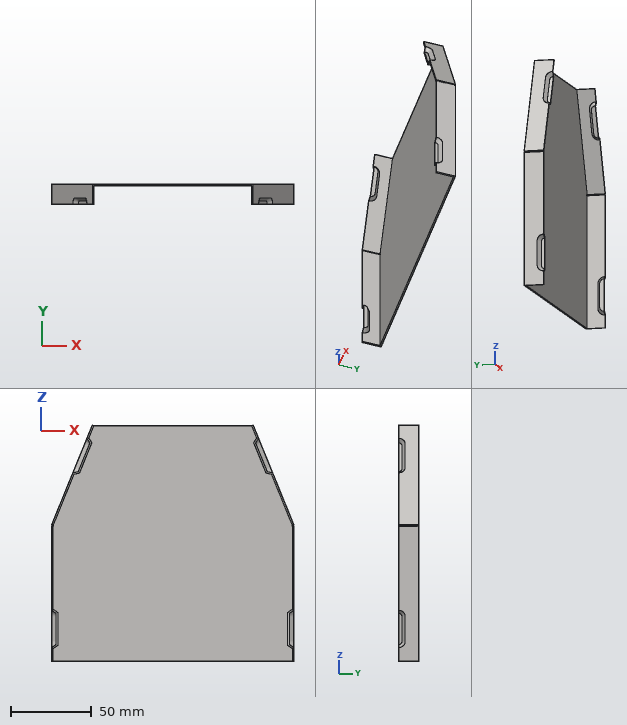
import cadquery as cq
import math

width = 150.0
depth = 12.5
height = 146.2
sheet = 1.0
corner_gap = 0.5
shoulder_height = 84.5
top_half_width = 49.8

recess_depth = 2.8
recess_half_straight = 7.5
mouth_radius = 4.0
floor_radius = 2.1
lower_recess_height = 20.1
slope_recess_distance = 46.4

half_width = width / 2
front_y = -depth / 2
back_y = depth / 2
bottom_z = -height / 2
top_z = height / 2
shoulder_z = bottom_z + shoulder_height

slope_angle = math.atan2(half_width - top_half_width, top_z - shoulder_z)
slope_x = -math.sin(slope_angle)
slope_z = math.cos(slope_angle)
panel_top_z = top_z - sheet * math.sin(slope_angle)

recess_taper = math.atan2(mouth_radius - floor_radius, recess_depth)
shell_mouth_radius = mouth_radius + sheet / math.cos(recess_taper)
shell_floor_radius = shell_mouth_radius - (recess_depth + sheet) * math.tan(recess_taper)

inner_half_width = half_width - sheet
inner_shoulder_z = shoulder_z - sheet * math.tan(slope_angle / 2)
inner_top_half_width = top_half_width - sheet * math.cos(slope_angle)


def mirrored_outline(right_points):
    """Closed XZ outline from its right-hand points, listed from bottom to top."""
    left_points = [(-x, z) for x, z in reversed(right_points)]
    return cq.Workplane("XZ", origin=(0, back_y, 0)).polyline(right_points + left_points).close()


def flange_strip(points):
    """Full-depth strip with the given XZ outline."""
    return cq.Workplane("XZ", origin=(0, back_y, 0)).polyline(points).close().extrude(depth)


def side_flange():
    """Upright right flange, stopping short of the sloping one."""
    end_z = inner_shoulder_z - corner_gap
    return flange_strip([
        (inner_half_width, bottom_z),
        (half_width, bottom_z),
        (half_width, end_z),
        (inner_half_width, end_z),
    ])


def slope_flange():
    """Sloping right flange with both ends square to the slope."""
    return flange_strip([
        (inner_half_width, inner_shoulder_z),
        (inner_half_width + sheet * slope_z, inner_shoulder_z - sheet * slope_x),
        (top_half_width, top_z),
        (inner_top_half_width, panel_top_z),
    ])


def tapered_slot(plane, outer_radius, inner_radius, length):
    """Round-ended slot that narrows along the plane normal."""
    straight = 2 * recess_half_straight
    taper = math.degrees(math.atan2(outer_radius - inner_radius, length))
    slot = cq.Workplane(plane).slot2D(straight + 2 * outer_radius, 2 * outer_radius)
    return slot.extrude(length, taper=taper)


def add_recess(flange, x, z, along):
    """Press a recess into the flange, centred on its front edge at (x, z)."""
    along_x, along_z = along
    plane = cq.Plane(
        origin=(x, front_y, z),
        xDir=(along_x, 0, along_z),
        normal=(-along_z, 0, along_x),
    )
    shell = tapered_slot(plane, shell_mouth_radius, shell_floor_radius, recess_depth + sheet)
    hollow = tapered_slot(plane, mouth_radius, floor_radius, recess_depth)
    envelope = cq.Workplane("XY").box(width, depth, height)
    return flange.union(shell.intersect(envelope)).cut(hollow)


panel_side = [
    (inner_half_width, bottom_z),
    (inner_half_width, inner_shoulder_z),
    (inner_top_half_width, panel_top_z),
]
panel = mirrored_outline(panel_side).extrude(sheet)

upright = add_recess(side_flange(), half_width, bottom_z + lower_recess_height, (0, 1))
sloping = add_recess(
    slope_flange(),
    half_width + slope_recess_distance * slope_x,
    shoulder_z + slope_recess_distance * slope_z,
    (slope_x, slope_z),
)

result = panel
for flange in (upright, sloping):
    result = result.union(flange).union(flange.mirror("YZ"))